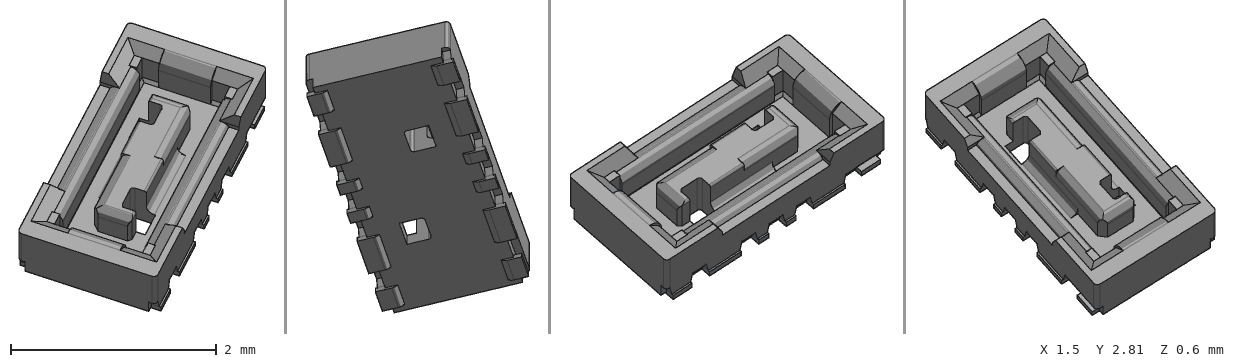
import cadquery as cq
import math

BODY_HALF_X = 0.73
BODY_HALF_Y = 1.405
BODY_BOTTOM = 0.028
BODY_TOP = 0.6
CORNER_RADIUS = 0.045

OPENING_HALF_X = 0.66
OPENING_HALF_Y = 1.227
LEAD_IN_RUN = 0.134
CONTACT_TOP = 0.5
LEDGE_INSET = 0.117
POCKET_HALF_X = 0.462
FLOOR_Z = 0.18
FLOOR_CHAMFER = 0.0355
FLOOR_CHAMFER_RISE = 0.03

BAR_HALF_LENGTH = 0.976
BEND_RADIUS = 0.095
BLOCK_HALF_WIDTH = 0.274

NOTCH_HALF_TOP = 0.74
NOTCH_HALF_BOTTOM = 0.688
SHELF_Z = 0.453

ISLAND_HALF_X = 0.206
ISLAND_HALF_Y = 0.79
ISLAND_ROUND = 0.094
ISLAND_SMALL_ROUND = 0.023
ISLAND_ROUND_START = 0.041
ISLAND_CHAMFER = 0.07
ISLAND_SMALL_CHAMFER = 0.033
FOOT_FILLET = 0.085
FOOT_END = 0.4

WINDOW_X = (-0.301, -0.049)
WINDOW_Y = (0.391, 0.653)
WINDOW_RADIUS = 0.035

PAD_REACH = 0.75
PAD_TOP = 0.063
PAD_INNER = 0.523
PAD_BEND_START = 0.585
PAD_SPANS = (
    (-0.867, -0.462),
    (-0.239, -0.112),
    (0.112, 0.239),
    (0.462, 0.867),
    (1.093, 1.335),
)
FLUSH_PAD_SPAN = (-1.335, -1.091)
RECESS_DEPTH = 0.08
RECESS_TOP = 0.172
RECESS_TAPER = 0.0255

BAR_FACE_X = OPENING_HALF_X - LEAD_IN_RUN - BEND_RADIUS
BAR_BACK_X = OPENING_HALF_X - LEDGE_INSET
LEAD_IN_DROP = BODY_TOP - CONTACT_TOP
LEDGE_Z = BODY_TOP - LEAD_IN_DROP * LEDGE_INSET / LEAD_IN_RUN
POCKET_HALF_Y = OPENING_HALF_Y - LEDGE_INSET
BLOCK_FACE_Y = POCKET_HALF_Y - FLOOR_CHAMFER
DIAGONAL = math.sqrt(0.5)


def box(x_min, x_max, y_min, y_max, z_min, z_max):
    size = (x_max - x_min, y_max - y_min, z_max - z_min)
    corner = (x_min, y_min, z_min)
    return cq.Workplane("XY").box(*size, centered=False).translate(corner)


def frustum(half_x, half_y, z_bottom, z_top, flare):
    """Rectangular funnel that widens by `flare` on every side going up."""
    return (
        cq.Workplane("XY", origin=(0, 0, z_bottom))
        .rect(2 * half_x, 2 * half_y)
        .workplane(offset=z_top - z_bottom)
        .rect(2 * (half_x + flare), 2 * (half_y + flare))
        .loft(ruled=True)
    )


def profile_xz(y_max):
    """Sketch plane whose axes are X and Z; extrusion runs toward -Y."""
    return cq.Workplane("XZ", origin=(0, y_max, 0))


def profile_yz(x_min):
    """Sketch plane whose axes are Y and Z; extrusion runs toward +X."""
    return cq.Workplane("YZ", origin=(x_min, 0, 0))


def half_turn(shape):
    return shape.rotate((0, 0, 0), (0, 0, 1), 180)


def with_half_turn(shape):
    """The part repeats itself under a half turn about Z."""
    return shape.union(half_turn(shape))


def make_shell():
    height = BODY_TOP - BODY_BOTTOM
    return (
        cq.Workplane("XY", origin=(0, 0, BODY_BOTTOM))
        .rect(2 * BODY_HALF_X, 2 * BODY_HALF_Y)
        .extrude(height)
        .edges("|Z")
        .fillet(CORNER_RADIUS)
    )


def make_opening():
    lead_in = frustum(
        OPENING_HALF_X - LEAD_IN_RUN,
        OPENING_HALF_Y - LEAD_IN_RUN,
        CONTACT_TOP,
        BODY_TOP,
        LEAD_IN_RUN,
    )
    for y_sign in (1, -1):
        y_near, y_far = sorted((y_sign * BAR_HALF_LENGTH, y_sign * OPENING_HALF_Y))
        lead_in = lead_in.cut(
            box(-OPENING_HALF_X, OPENING_HALF_X, y_near, y_far, CONTACT_TOP, LEDGE_Z)
        )
    chamfer_top = FLOOR_Z + FLOOR_CHAMFER_RISE
    pocket = box(
        -POCKET_HALF_X, POCKET_HALF_X, -POCKET_HALF_Y, POCKET_HALF_Y, chamfer_top, LEDGE_Z
    )
    floor_edge = frustum(
        POCKET_HALF_X - FLOOR_CHAMFER, BLOCK_FACE_Y, FLOOR_Z, chamfer_top, FLOOR_CHAMFER
    )
    bar_space = box(
        -BAR_BACK_X, BAR_BACK_X, -BAR_HALF_LENGTH, BAR_HALF_LENGTH, chamfer_top, CONTACT_TOP
    )
    return lead_in.union(pocket).union(floor_edge).union(bar_space)


def make_contact_bar():
    """Bar on the +X wall with a rounded upper inner edge."""
    bend_x = BAR_FACE_X + BEND_RADIUS
    bend_z = CONTACT_TOP - BEND_RADIUS
    middle = (bend_x - BEND_RADIUS * DIAGONAL, bend_z + BEND_RADIUS * DIAGONAL)
    return (
        profile_xz(BAR_HALF_LENGTH)
        .moveTo(BAR_BACK_X, FLOOR_Z)
        .lineTo(BAR_FACE_X, FLOOR_Z)
        .lineTo(BAR_FACE_X, bend_z)
        .threePointArc(middle, (bend_x, CONTACT_TOP))
        .lineTo(BAR_BACK_X, CONTACT_TOP)
        .close()
        .extrude(2 * BAR_HALF_LENGTH)
    )


def make_end_block():
    """Block on the +Y wall, rounded from the rim down to its inner face."""
    radius = OPENING_HALF_Y - BLOCK_FACE_Y
    bend_z = BODY_TOP - radius
    middle = (OPENING_HALF_Y - radius * DIAGONAL, bend_z + radius * DIAGONAL)
    return (
        profile_yz(-BLOCK_HALF_WIDTH)
        .moveTo(OPENING_HALF_Y, FLOOR_Z)
        .lineTo(BLOCK_FACE_Y, FLOOR_Z)
        .lineTo(BLOCK_FACE_Y, bend_z)
        .threePointArc(middle, (OPENING_HALF_Y, BODY_TOP))
        .close()
        .extrude(2 * BLOCK_HALF_WIDTH)
    )


def make_notch():
    return (
        profile_yz(-BODY_HALF_X)
        .polyline([
            (-NOTCH_HALF_TOP, BODY_TOP),
            (-NOTCH_HALF_BOTTOM, CONTACT_TOP),
            (NOTCH_HALF_BOTTOM, CONTACT_TOP),
            (NOTCH_HALF_TOP, BODY_TOP),
        ])
        .close()
        .extrude(2 * BODY_HALF_X)
    )


def make_shelf_cut():
    """Shelf outside the +X bar that leaves the bar's outer bend exposed."""
    drop = CONTACT_TOP - SHELF_Z
    sweep = math.acos(1 - drop / BEND_RADIUS)
    bend_z = CONTACT_TOP - BEND_RADIUS
    middle = (
        BAR_BACK_X + BEND_RADIUS * math.sin(sweep / 2),
        bend_z + BEND_RADIUS * math.cos(sweep / 2),
    )
    bend_end = (BAR_BACK_X + BEND_RADIUS * math.sin(sweep), SHELF_Z)
    return (
        profile_xz(NOTCH_HALF_BOTTOM)
        .moveTo(BAR_BACK_X, CONTACT_TOP)
        .threePointArc(middle, bend_end)
        .lineTo(BODY_HALF_X, SHELF_Z)
        .lineTo(BODY_HALF_X, CONTACT_TOP)
        .close()
        .extrude(2 * NOTCH_HALF_BOTTOM)
    )


def corner_bar(plane, corner, radius, length, u_sign, v_sign):
    """Square bar with one concave quarter round; `corner` is its sharp corner."""
    u, v = corner
    centre = (u + u_sign * radius, v + v_sign * radius)
    middle = (centre[0] - u_sign * radius * DIAGONAL, centre[1] - v_sign * radius * DIAGONAL)
    return (
        plane.moveTo(u, v)
        .lineTo(centre[0], v)
        .threePointArc(middle, (u, centre[1]))
        .close()
        .extrude(length)
    )


def island_corner_cut(x_sign, leg):
    """Vertical 45 degree cut at a +Y corner of the island."""
    x = x_sign * ISLAND_HALF_X
    y = ISLAND_HALF_Y
    return (
        cq.Workplane("XY", origin=(0, 0, FLOOR_Z))
        .polyline([(x, y), (x - x_sign * leg, y), (x, y - leg)])
        .close()
        .extrude(CONTACT_TOP - FLOOR_Z)
    )


def make_island():
    island = box(
        -ISLAND_HALF_X, ISLAND_HALF_X, -ISLAND_HALF_Y, ISLAND_HALF_Y, BODY_BOTTOM, CONTACT_TOP
    )
    side_edge = (ISLAND_HALF_X, CONTACT_TOP)
    end_edge = (ISLAND_HALF_Y, CONTACT_TOP)
    cuts = (
        corner_bar(
            profile_xz(ISLAND_HALF_Y), side_edge, ISLAND_ROUND,
            ISLAND_HALF_Y - ISLAND_ROUND_START, -1, -1,
        ),
        corner_bar(
            profile_xz(ISLAND_ROUND_START), side_edge, ISLAND_SMALL_ROUND,
            ISLAND_ROUND_START + ISLAND_HALF_Y, -1, -1,
        ),
        corner_bar(
            profile_yz(-ISLAND_HALF_X), end_edge, ISLAND_ROUND, 2 * ISLAND_HALF_X, -1, -1,
        ),
        island_corner_cut(1, ISLAND_CHAMFER),
        island_corner_cut(-1, ISLAND_SMALL_CHAMFER),
    )
    for cut in cuts:
        island = island.cut(cut).cut(half_turn(cut))
    foot = corner_bar(
        profile_xz(FOOT_END), (ISLAND_HALF_X, FLOOR_Z), FOOT_FILLET,
        FOOT_END + WINDOW_Y[0], 1, 1,
    )
    return island.union(with_half_turn(foot))


def make_window():
    return (
        box(*WINDOW_X, *WINDOW_Y, BODY_BOTTOM, BODY_TOP)
        .edges("|Z and >X")
        .fillet(WINDOW_RADIUS)
    )


def make_pad(span, reach):
    """Pad on the -X side whose inner end curves up into the body underside."""
    y_min, y_max = span
    run = PAD_BEND_START - PAD_INNER
    radius = (run**2 + BODY_BOTTOM**2) / (2 * BODY_BOTTOM)
    half_sweep = math.asin(run / radius) / 2
    middle = (
        -PAD_BEND_START + radius * math.sin(half_sweep),
        radius * (1 - math.cos(half_sweep)),
    )
    return (
        profile_xz(y_max)
        .moveTo(-reach, 0)
        .lineTo(-PAD_BEND_START, 0)
        .threePointArc(middle, (-PAD_INNER, BODY_BOTTOM))
        .lineTo(-PAD_INNER, PAD_TOP)
        .lineTo(-reach, PAD_TOP)
        .close()
        .extrude(y_max - y_min)
    )


def make_recess(y_min, y_max, taper_min, taper_max):
    """Recess in the -X face, straight up to the pad tops and tapered above."""
    return (
        profile_yz(-BODY_HALF_X)
        .polyline([
            (y_min, BODY_BOTTOM),
            (y_max, BODY_BOTTOM),
            (y_max, PAD_TOP),
            (y_max - taper_max, RECESS_TOP),
            (y_min + taper_min, RECESS_TOP),
            (y_min, PAD_TOP),
        ])
        .close()
        .extrude(RECESS_DEPTH)
    )


def make_recesses():
    recesses = make_recess(-BODY_HALF_Y, PAD_SPANS[0][0], 0, RECESS_TAPER)
    for lower, upper in zip(PAD_SPANS, PAD_SPANS[1:]):
        recesses = recesses.union(make_recess(lower[1], upper[0], RECESS_TAPER, RECESS_TAPER))
    return recesses.union(make_recess(PAD_SPANS[-1][1], BODY_HALF_Y, RECESS_TAPER, 0))


def make_pads():
    pads = make_pad(FLUSH_PAD_SPAN, BODY_HALF_X)
    for span in PAD_SPANS:
        pads = pads.union(make_pad(span, PAD_REACH))
    return pads


result = (
    make_shell()
    .cut(make_opening())
    .union(with_half_turn(make_contact_bar()))
    .union(with_half_turn(make_end_block()))
    .cut(make_notch())
    .cut(with_half_turn(make_shelf_cut()))
    .union(make_island())
    .cut(with_half_turn(make_window()))
    .cut(with_half_turn(make_recesses()))
    .union(with_half_turn(make_pads()))
)